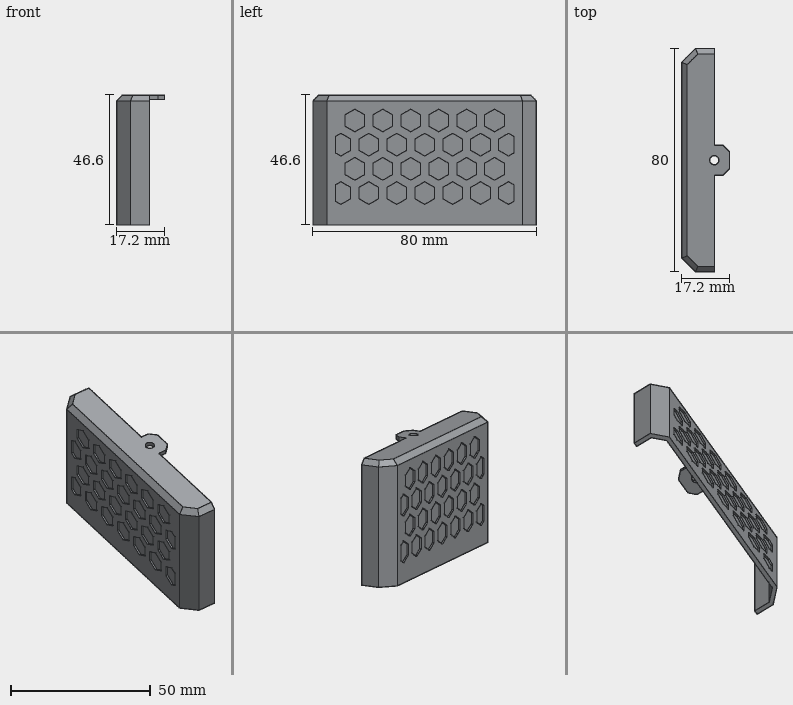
import cadquery as cq
import math

LENGTH = 80.0
HEIGHT = 46.6
TOTAL_DEPTH = 17.2
BODY_DEPTH = 11.8

WALL = 1.6
CORNER_BEVEL = 5.0
TOP_BEVEL = 2.0

TAB_WIDTH = 10.9
TAB_BEVEL = 2.4
HOLE_DIAMETER = 3.2
HOLE_X = 11.7

CELL_WIDTH = 7.0
CELL_PITCH = 10.0
CELL_DEPTH = 0.6
ROW_PITCH = CELL_PITCH * math.sqrt(3) / 2
LOWEST_ROW_HEIGHT = 11.5
CELLS_PER_ROW = (7, 6, 7, 6)
FIELD_WIDTH = 64.0


def make_block(depth, length, height, corner_bevel):
    """Upright block standing on Z = 0 with its front at X = 0 and its two front corners bevelled."""
    block = cq.Workplane("XY").box(depth, length, height, centered=(False, True, False))
    return block.edges("|Z and <X").chamfer(corner_bevel)


def make_body():
    """Bevelled cover with walls of even thickness; the top bevel skips the open back."""
    outside = make_block(BODY_DEPTH, LENGTH, HEIGHT, CORNER_BEVEL)
    outside = outside.faces(">Z").edges("not >X").chamfer(TOP_BEVEL)
    inner_bevel = CORNER_BEVEL - WALL * (2 - math.sqrt(2))
    cavity = make_block(BODY_DEPTH - WALL, LENGTH - 2 * WALL, HEIGHT - WALL, inner_bevel)
    return outside.cut(cavity.translate((WALL, 0, 0)))


def make_tab():
    """Flat tab behind the body with bevelled outer corners."""
    tab = cq.Workplane("XY", origin=(BODY_DEPTH, 0, HEIGHT - WALL)).box(
        TOTAL_DEPTH - BODY_DEPTH, TAB_WIDTH, WALL, centered=(False, True, False)
    )
    return tab.edges("|Z and >X").chamfer(TAB_BEVEL)


def make_hole():
    """Round hole through the top wall and the root of the tab."""
    top_wall = cq.Workplane("XY", origin=(HOLE_X, 0, HEIGHT - WALL))
    return top_wall.circle(HOLE_DIAMETER / 2).extrude(WALL)


def cell_centers():
    """(Y, Z) centres of the honeycomb cells, in staggered rows from the bottom up."""
    centers = []
    for row, count in enumerate(CELLS_PER_ROW):
        z = LOWEST_ROW_HEIGHT + row * ROW_PITCH
        for column in range(count):
            y = (column - (count - 1) / 2) * CELL_PITCH
            centers.append((y, z))
    return centers


def make_honeycomb():
    """Hexagonal cells standing on a corner, trimmed to the width of the honeycomb field."""
    cells = (
        cq.Workplane("YZ")
        .sketch()
        .push(cell_centers())
        .regularPolygon(CELL_WIDTH / math.sqrt(3), 6)
        .finalize()
        .extrude(CELL_DEPTH)
    )
    field = cq.Workplane("XY").box(CELL_DEPTH, FIELD_WIDTH, HEIGHT, centered=(False, True, False))
    return cells.intersect(field)


result = make_body().union(make_tab()).cut(make_hole()).cut(make_honeycomb())